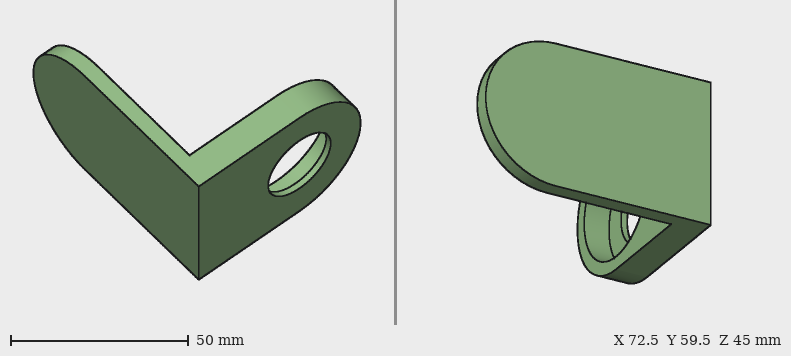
import cadquery as cq

length = 72.5
depth = 59.5
height = 45.0
front_thickness = 5.0
side_thickness = 10.0
hole_diameter = 23.0
bore_diameter = 37.0
bore_depth = 8.0

end_radius = height / 2


def round_ended_plate(plate_length, thickness):
    """Plate with its square end on the local Y axis and its round end at -X."""
    tangent_x = end_radius - plate_length
    return (
        cq.Workplane("XY")
        .moveTo(0, -end_radius)
        .lineTo(0, end_radius)
        .lineTo(tangent_x, end_radius)
        .threePointArc((-plate_length, 0), (tangent_x, -end_radius))
        .close()
        .extrude(thickness)
    )


front_plate = (
    round_ended_plate(length, front_thickness)
    .rotate((0, 0, 0), (1, 0, 0), 90)
    .translate((length, front_thickness, 0))
)

side_plate = (
    round_ended_plate(depth, side_thickness)
    .rotate((0, 0, 0), (0, 0, 1), -90)
    .rotate((0, 0, 0), (0, 1, 0), 90)
    .translate((length - side_thickness, 0, 0))
)

hole_plane = cq.Plane(
    origin=(length - side_thickness, depth - end_radius, 0),
    xDir=(0, 1, 0),
    normal=(1, 0, 0),
)
through_hole = cq.Workplane(hole_plane).circle(hole_diameter / 2).extrude(side_thickness)
counterbore = cq.Workplane(hole_plane).circle(bore_diameter / 2).extrude(bore_depth)

result = front_plate.union(side_plate).cut(through_hole).cut(counterbore)